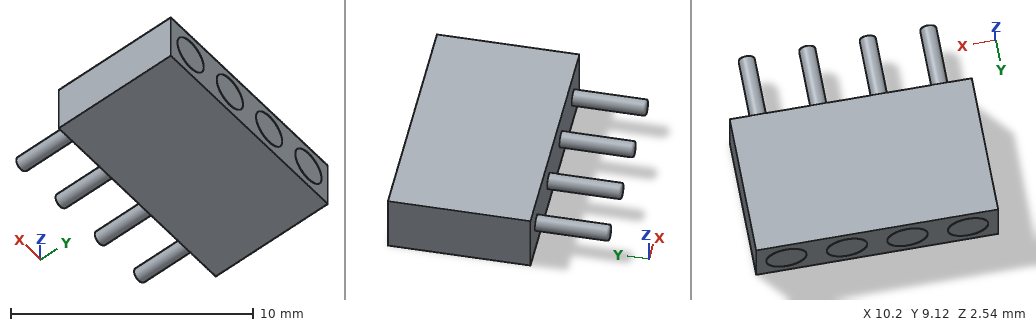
import cadquery as cq

housing_width = 10.16
housing_depth = 6.0
housing_height = 2.54

contact_count = 4
contact_pitch = housing_width / contact_count
pin_diameter = 0.69
pin_length = 3.1
pin_tip_radius = 0.1
socket_diameter = 1.7
total_depth = 9.12
socket_protrusion = total_depth - housing_depth - pin_length


def make_housing():
    return cq.Workplane("XY").box(
        housing_width, housing_depth, housing_height, centered=(True, False, True)
    )


def make_pin(x):
    """Round pin pointing toward -Y with a rounded tip edge."""
    pin = cq.Workplane("XZ").center(x, 0).circle(pin_diameter / 2).extrude(pin_length)
    return pin.faces("<Y").fillet(pin_tip_radius)


def make_socket_end(x):
    """Shallow disc standing proud of the back face."""
    back_plane = cq.Workplane("XZ", origin=(x, housing_depth, 0))
    return back_plane.circle(socket_diameter / 2).extrude(-socket_protrusion)


result = make_housing()
for index in range(contact_count):
    contact_x = (index - (contact_count - 1) / 2) * contact_pitch
    result = result.union(make_pin(contact_x)).union(make_socket_end(contact_x))